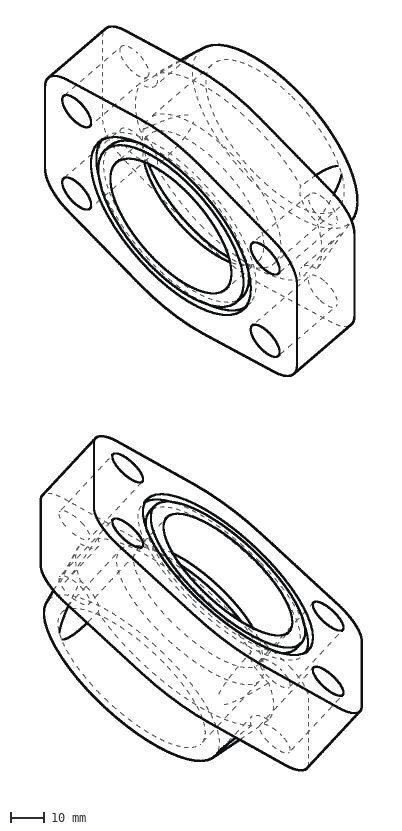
import cadquery as cq
import math

length = 104.0
height = 90.0
plate_thickness = 25.0
bolt_x = 38.9
bolt_z = 21.4
bolt_hole_diameter = 12.0
corner_radius = length / 2 - bolt_x
crown_radius = height / 2

total_depth = 45.0
hub_depth = total_depth - plate_thickness
hub_base_radius = 38.5
hub_end_radius = 34.1
bolt_clearance_radius = 9.6

bore_diameter = 50.0
bore_depth = 14.0
rear_bore_diameter = 57.2
groove_outer_diameter = 66.0
groove_inner_diameter = 60.0
groove_depth = 2.3


def rearward_plane(y):
    """Plane at depth y with its normal along +Y; its local y axis is -Z."""
    return cq.Workplane(cq.Plane(origin=(0, y, 0), xDir=(1, 0, 0), normal=(0, 1, 0)))


def cylinder(diameter, y, depth):
    return rearward_plane(y).circle(diameter / 2).extrude(depth)


def bolt_cylinders(radius, y, depth):
    """Four cylinders along Y at the bolt positions."""
    positions = [(sx * bolt_x, sz * bolt_z) for sx in (-1, 1) for sz in (-1, 1)]
    return rearward_plane(y).pushPoints(positions).circle(radius).extrude(depth)


def make_plate():
    """Plate whose straight flanks are tangent to the crown and corner arcs."""
    center_distance = math.hypot(bolt_x, bolt_z)
    tangent_angle = math.atan2(bolt_x, bolt_z) - math.acos(
        (crown_radius - corner_radius) / center_distance
    )
    corner_mid_angle = (tangent_angle + math.pi / 2) / 2

    def corner_point(sx, sz, angle):
        x = bolt_x + corner_radius * math.sin(angle)
        z = bolt_z + corner_radius * math.cos(angle)
        return (sx * x, sz * z)

    crown_x = crown_radius * math.sin(tangent_angle)
    crown_z = crown_radius * math.cos(tangent_angle)
    side_x = length / 2

    outline = rearward_plane(0).moveTo(-side_x, -bolt_z)
    for s in (1, -1):
        outline = (
            outline.lineTo(-s * side_x, s * bolt_z)
            .threePointArc(corner_point(-s, s, corner_mid_angle), corner_point(-s, s, tangent_angle))
            .lineTo(-s * crown_x, s * crown_z)
            .threePointArc((0, s * crown_radius), (s * crown_x, s * crown_z))
            .lineTo(*corner_point(s, s, tangent_angle))
            .threePointArc(corner_point(s, s, corner_mid_angle), (s * side_x, s * bolt_z))
        )
    return outline.close().extrude(plate_thickness)


def make_hub():
    """Conical hub with scallops that clear the bolt heads."""
    cone = cq.Workplane("XY").add(
        cq.Solid.makeCone(
            hub_base_radius,
            hub_end_radius,
            hub_depth,
            pnt=cq.Vector(0, plate_thickness, 0),
            dir=cq.Vector(0, 1, 0),
        )
    )
    return cone.cut(bolt_cylinders(bolt_clearance_radius, plate_thickness, hub_depth))


def make_rear_bore():
    """Wider rear bore, reached from the front bore through a 45 degree cone."""
    front_radius = bore_diameter / 2
    rear_radius = rear_bore_diameter / 2
    cone_end = bore_depth + rear_radius - front_radius
    profile = [
        (0, bore_depth),
        (front_radius, bore_depth),
        (rear_radius, cone_end),
        (rear_radius, total_depth),
        (0, total_depth),
    ]
    return cq.Workplane("XY").polyline(profile).close().revolve(360, (0, 0, 0), (0, 1, 0))


def make_groove():
    outer = cylinder(groove_outer_diameter, 0, groove_depth)
    return outer.cut(cylinder(groove_inner_diameter, 0, groove_depth))


result = (
    make_plate()
    .union(make_hub())
    .cut(cylinder(bore_diameter, 0, total_depth))
    .cut(make_rear_bore())
    .cut(make_groove())
    .cut(bolt_cylinders(bolt_hole_diameter / 2, 0, plate_thickness))
)